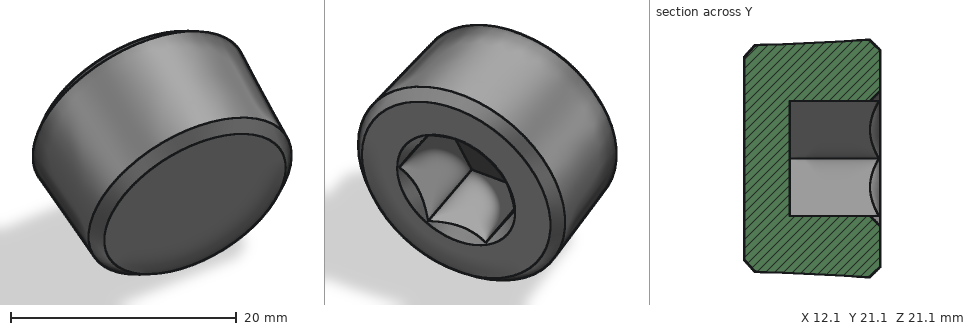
import cadquery as cq
import math

length = 12.1
large_radius = 10.55
small_radius = 10.06
chamfer_length = 0.97
socket_face_radius = 9.6
far_face_radius = 8.99

hex_across_flats = 10.17
hex_across_corners = hex_across_flats / math.cos(math.radians(30))
socket_depth = 8.02
lead_in_radius = 6.01
lead_in_angle = 45.0
lead_in_depth = lead_in_radius / math.tan(math.radians(lead_in_angle))


def make_body():
    """Revolve the tapered profile with a chamfer at each end."""
    profile = (
        cq.Workplane("XY")
        .moveTo(0, 0)
        .lineTo(0, socket_face_radius)
        .lineTo(chamfer_length, large_radius)
        .lineTo(length - chamfer_length, small_radius)
        .lineTo(length, far_face_radius)
        .lineTo(length, 0)
        .close()
    )
    return profile.revolve(360, (0, 0, 0), (1, 0, 0))


def make_hex_socket():
    """Blind hexagonal prism with two corners on the Y direction."""
    return cq.Workplane("YZ").polygon(6, hex_across_corners).extrude(socket_depth)


def make_lead_in():
    """Cone that cuts back the hexagon flats at the socket mouth."""
    cone = cq.Solid.makeCone(lead_in_radius, 0, lead_in_depth, cq.Vector(0, 0, 0), cq.Vector(1, 0, 0))
    return cq.Workplane(obj=cone)


result = make_body().cut(make_hex_socket()).cut(make_lead_in())